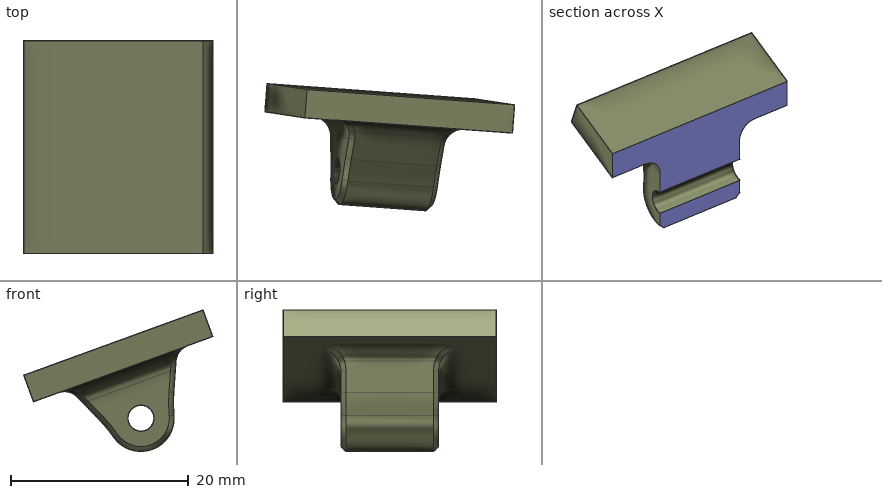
import cadquery as cq
import math

plate_length = 21.5
plate_width = 24.0
plate_thickness = 3.2
tilt_angle = 20.0

pivot_drop = 5.87
pivot_diameter = 2.9
lug_width = 11.0
lug_end_radius = 3.75
lug_chamfer = 0.55
root_fillet = 2.0

neck_radius = 16.5
neck_start_lean = math.radians(15.0)
flank_lean = math.radians(24.0)


def make_plate():
    """Rectangular plate above the pivot, before tilting."""
    plate = cq.Workplane("XY").box(
        plate_length, plate_width, plate_thickness, centered=(True, True, False)
    )
    return plate.translate((0, 0, pivot_drop))


def neck_point(lean):
    """Point on the right-hand neck arc where the flank has the given lean."""
    center_distance = lug_end_radius + neck_radius
    x = center_distance * math.cos(neck_start_lean) - neck_radius * math.cos(lean)
    z = -center_distance * math.sin(neck_start_lean) + neck_radius * math.sin(lean)
    return x, z


def mirrored(point):
    """Matching point on the left-hand flank."""
    return -point[0], point[1]


def make_lug():
    """Symmetric flared lug, still with sharp edges."""
    neck_start = neck_point(neck_start_lean)
    neck_middle = neck_point((neck_start_lean + flank_lean) / 2)
    neck_end = neck_point(flank_lean)
    root = (neck_end[0] + (pivot_drop - neck_end[1]) * math.tan(flank_lean), pivot_drop)

    return (
        cq.Workplane("XZ")
        .moveTo(*root)
        .lineTo(*neck_end)
        .threePointArc(neck_middle, neck_start)
        .threePointArc((0, -lug_end_radius), mirrored(neck_start))
        .threePointArc(mirrored(neck_middle), mirrored(neck_end))
        .lineTo(*mirrored(root))
        .close()
        .extrude(lug_width / 2, both=True)
    )


def fillet_root(body):
    """Round the corner all around the lug where it meets the underside of the plate."""
    margin = 0.01
    root_zone = cq.selectors.BoxSelector(
        (-plate_length / 2 + margin, -plate_width / 2 + margin, pivot_drop - margin),
        (plate_length / 2 - margin, plate_width / 2 - margin, pivot_drop + margin),
        boundingbox=True,
    )
    return body.edges(root_zone).fillet(root_fillet)


def chamfer_lug(body):
    """Chamfer both side outlines of the lug, from the rounded end up into the root fillet."""
    return body.edges("%CIRCLE").edges("<Z").chamfer(lug_chamfer)


def make_pivot_hole():
    """Cutter for the hole through the full width of the lug."""
    return cq.Workplane("XZ").circle(pivot_diameter / 2).extrude(lug_width, both=True)


body = make_plate().union(make_lug())
body = fillet_root(body)
body = chamfer_lug(body)
body = body.cut(make_pivot_hole())
result = body.rotate((0, 0, 0), (0, 1, 0), -tilt_angle)